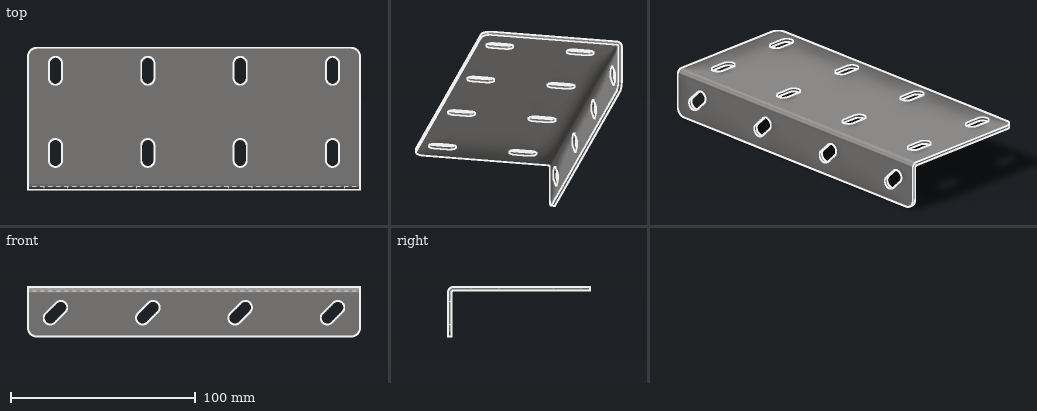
import cadquery as cq

LENGTH = 180.0
DEPTH = 77.0
HEIGHT = 27.0

THICKNESS = 2.0
BEND_INNER_RADIUS = 1.0
BEND_OUTER_RADIUS = BEND_INNER_RADIUS + THICKNESS
CORNER_RADIUS = 5.0

SLOT_WIDTH = 7.0
SLOT_LENGTH = 15.0
SLOT_COUNT = 4
SLOT_PITCH = 50.0
PLATE_SLOT_ANGLE = 90.0
PLATE_ROW_PITCH = 44.5
BACK_ROW_EDGE_DISTANCE = 12.5
FLANGE_SLOT_HEIGHT = 13.0
FLANGE_SLOT_ANGLE = 45.0

SLOT_XS = [(i - (SLOT_COUNT - 1) / 2) * SLOT_PITCH for i in range(SLOT_COUNT)]
BACK_ROW_Y = DEPTH - BACK_ROW_EDGE_DISTANCE
PLATE_ROW_YS = [BACK_ROW_Y - PLATE_ROW_PITCH, BACK_ROW_Y]


def bent_sheet():
    """L-shaped sheet with a horizontal plate, a bend and a flange hanging down at the front."""
    plate_underside = HEIGHT - THICKNESS
    outside = (
        cq.Workplane("YZ", origin=(-LENGTH / 2, 0, 0))
        .rect(DEPTH, HEIGHT, centered=False)
        .extrude(LENGTH)
        .edges("|X and <Y and >Z")
        .fillet(BEND_OUTER_RADIUS)
    )
    inside = (
        cq.Workplane("YZ", origin=(-LENGTH / 2, THICKNESS, 0))
        .rect(DEPTH, plate_underside, centered=False)
        .extrude(LENGTH)
        .edges("|X and <Y and >Z")
        .fillet(BEND_INNER_RADIUS)
    )
    return outside.cut(inside)


def round_free_corners(sheet):
    """Round the two rear corners of the plate and the two lower corners of the flange."""
    sheet = sheet.faces(">Y").edges("|Z").fillet(CORNER_RADIUS)
    return sheet.faces("<Z").edges("|Y").fillet(CORNER_RADIUS)


def plate_slots():
    """Two rows of slots running front to back through the plate."""
    return (
        cq.Workplane("XY", origin=(0, 0, HEIGHT))
        .pushPoints([(x, y) for y in PLATE_ROW_YS for x in SLOT_XS])
        .slot2D(SLOT_LENGTH, SLOT_WIDTH, PLATE_SLOT_ANGLE)
        .extrude(-THICKNESS)
    )


def flange_slots():
    """One row of inclined slots through the flange."""
    return (
        cq.Workplane("XZ")
        .pushPoints([(x, FLANGE_SLOT_HEIGHT) for x in SLOT_XS])
        .slot2D(SLOT_LENGTH, SLOT_WIDTH, FLANGE_SLOT_ANGLE)
        .extrude(-THICKNESS)
    )


result = round_free_corners(bent_sheet()).cut(plate_slots()).cut(flange_slots())